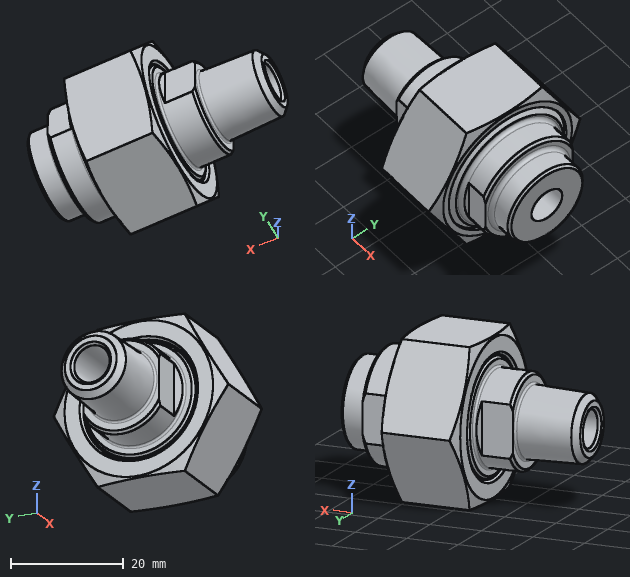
import cadquery as cq
import math


overall_length = 45.0
bore_radius = 7.0 / 2
bore_chamfer = 0.5

nut_start = 19.0
nut_length = 15.0
nut_end = nut_start + nut_length
nut_across_flats = 30.0
nut_across_corners = nut_across_flats / math.cos(math.radians(30))
nut_face_radius = 29.45 / 2
nut_corner_chamfer = 0.9
nut_lip_radius = 22.5 / 2
nut_lip_length = 2.48
nut_lip_chamfer = 0.5
joint_radius = 26.85 / 2

taper_chamfer = 1.15
taper_tip_radius = 5.15
taper_start_radius = 6.4
taper_end = 11.6
taper_radius_per_length = 1 / 32
taper_end_radius = taper_start_radius + (taper_end - taper_chamfer) * taper_radius_per_length
shoulder_fillet = 0.4
shoulder_start = taper_end + shoulder_fillet
shank_radius = 18.0 / 2
shank_chamfer = 0.55
shank_flat_width = 15.0
shank_flat_end = 18.0
shank_flat_lean = 0.4
flange_start = nut_start
flange_fillet = 0.4
flange_radius = 22.0 / 2
flange_chamfer = 0.5
collar_start = nut_start + nut_lip_length
collar_end = 24.75

joint_shoulder = 34.5
joint_chamfer = 1.15
neck_radius = 22.0 / 2
neck_fillet = 0.8
neck_end = 40.05
neck_chamfer = 0.55
neck_flat_width = 20.0
neck_flat_start = 35.35
spigot_radius = 17.2 / 2
spigot_fillet = 0.8
spigot_chamfer = 0.5


def revolve_about_x(outline):
    """Turn a closed (x, radius) outline about the X axis."""
    return outline.close().revolve(360, (0, 0, 0), (1, 0, 0))


def concave_arc(outline, center, radius, end, x_side):
    """Add a quarter arc whose middle lies inward of its center, on the given X side."""
    reach = radius * math.sqrt(0.5)
    return outline.threePointArc((center[0] + x_side * reach, center[1] - reach), end)


def cut_wrench_flats(body, flat_outline):
    """Cut a pocket outline in XY, and its mirror across XZ, through the full height."""
    flat = cq.Workplane("XY").polyline(flat_outline).close().extrude(nut_across_flats, both=True)
    return body.cut(flat).cut(flat.mirror("XZ"))


def make_tailpiece():
    outline = (
        cq.Workplane("XY")
        .moveTo(0, bore_radius + bore_chamfer)
        .lineTo(0, taper_tip_radius)
        .lineTo(taper_chamfer, taper_start_radius)
        .lineTo(taper_end, taper_end_radius)
    )
    fillet_top = taper_end_radius + shoulder_fillet
    outline = concave_arc(
        outline, (taper_end, fillet_top), shoulder_fillet, (shoulder_start, fillet_top), 1
    )
    outline = (
        outline.lineTo(shoulder_start, shank_radius - shank_chamfer)
        .lineTo(shoulder_start + shank_chamfer, shank_radius)
        .lineTo(flange_start - flange_fillet, shank_radius)
    )
    fillet_top = shank_radius + flange_fillet
    outline = concave_arc(
        outline, (flange_start - flange_fillet, fillet_top), flange_fillet, (flange_start, fillet_top), 1
    )
    outline = (
        outline.lineTo(flange_start, flange_radius - flange_chamfer)
        .lineTo(flange_start + flange_chamfer, flange_radius)
        .lineTo(collar_start, flange_radius)
        .lineTo(collar_start, joint_radius)
        .lineTo(collar_end, joint_radius)
        .lineTo(collar_end, bore_radius)
        .lineTo(bore_chamfer, bore_radius)
    )
    flat = shank_flat_width / 2
    flat_outline = [
        (shoulder_start, flat),
        (shank_flat_end, flat),
        (shank_flat_end + shank_flat_lean, shank_radius),
        (shank_flat_end + shank_flat_lean, joint_radius),
        (shoulder_start, joint_radius),
    ]
    return cut_wrench_flats(revolve_about_x(outline), flat_outline)


def make_nut():
    hexagon = (
        cq.Workplane("YZ", origin=(nut_start, 0, 0))
        .polygon(6, nut_across_corners)
        .extrude(nut_length)
    )
    corner_radius = nut_across_corners / 2
    chamfered_blank = revolve_about_x(
        cq.Workplane("XY")
        .moveTo(nut_start, 0)
        .lineTo(nut_start, nut_face_radius)
        .lineTo(nut_start + nut_corner_chamfer, corner_radius)
        .lineTo(nut_end - nut_corner_chamfer, corner_radius)
        .lineTo(nut_end, nut_face_radius)
        .lineTo(nut_end, 0)
    )
    opening = revolve_about_x(
        cq.Workplane("XY")
        .moveTo(nut_start, 0)
        .lineTo(nut_start, nut_lip_radius + nut_lip_chamfer)
        .lineTo(nut_start + nut_lip_chamfer, nut_lip_radius)
        .lineTo(collar_start, nut_lip_radius)
        .lineTo(collar_start, joint_radius)
        .lineTo(nut_end, joint_radius)
        .lineTo(nut_end, 0)
    )
    return hexagon.intersect(chamfered_blank).cut(opening)


def make_end_piece():
    fillet_top = neck_radius + neck_fillet
    outline = (
        cq.Workplane("XY")
        .moveTo(collar_end, bore_radius)
        .lineTo(collar_end, joint_radius)
        .lineTo(joint_shoulder - joint_chamfer, joint_radius)
        .lineTo(joint_shoulder, joint_radius - joint_chamfer)
        .lineTo(joint_shoulder, fillet_top)
    )
    fillet_end = joint_shoulder + neck_fillet
    outline = concave_arc(outline, (fillet_end, fillet_top), neck_fillet, (fillet_end, neck_radius), -1)
    fillet_top = spigot_radius + spigot_fillet
    outline = (
        outline.lineTo(neck_end - neck_chamfer, neck_radius)
        .lineTo(neck_end, neck_radius - neck_chamfer)
        .lineTo(neck_end, fillet_top)
    )
    fillet_end = neck_end + spigot_fillet
    outline = concave_arc(outline, (fillet_end, fillet_top), spigot_fillet, (fillet_end, spigot_radius), -1)
    outline = (
        outline.lineTo(overall_length - spigot_chamfer, spigot_radius)
        .lineTo(overall_length, spigot_radius - spigot_chamfer)
        .lineTo(overall_length, bore_radius)
    )
    flat = neck_flat_width / 2
    flat_outline = [
        (neck_flat_start, flat),
        (neck_end, flat),
        (neck_end, joint_radius),
        (neck_flat_start, joint_radius),
    ]
    return cut_wrench_flats(revolve_about_x(outline), flat_outline)


tailpiece = make_tailpiece()
nut = make_nut()
end_piece = make_end_piece()

result = cq.Compound.makeCompound([tailpiece.val(), nut.val(), end_piece.val()])